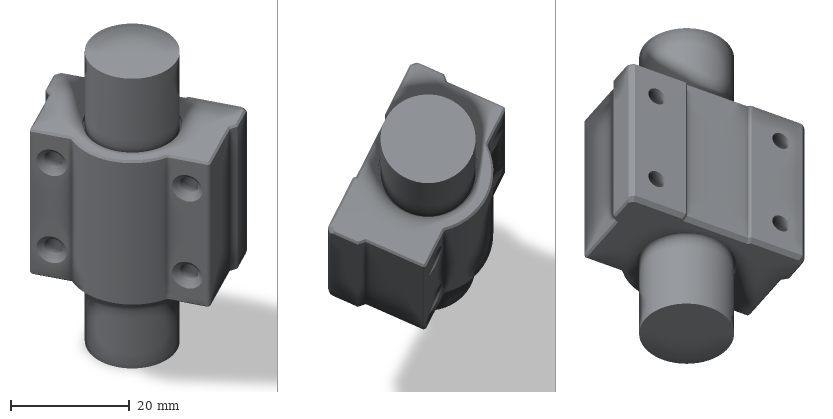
import cadquery as cq
import math

shaft_diameter = 16.0
shaft_length = 60.0
block_height = 30.0
block_width = 34.0
block_depth = 22.0
arm_width = 32.0
arm_front = -7.0
ledge_back_y = 5.05
corner_chamfer = 0.8
rim_chamfer = 0.35
back_rim_chamfer = 0.7
edge_fillet = 0.55
recess_width = 12.65
recess_depth = 0.4
groove_diameter = 16.8
groove_depth = 0.7
hole_spacing_x = 24.0
hole_spacing_z = 18.0
hole_diameter = 3.25
countersink_diameter = 5.4
countersink_depth = 1.0

nose_radius = block_depth / 2
back_y = block_depth / 2
half_width = block_width / 2
half_arm = arm_width / 2
half_height = block_height / 2
ledge_front_y = ledge_back_y - (half_width - half_arm)
nose_root_x = math.sqrt(nose_radius**2 - arm_front**2)


def back_outline(corner_reach):
    """Open outline of the recessed back, from its right corner bevel to its left one.

    The bevels run on until they are `corner_reach` away from the plane X = 0.
    """
    corner_start_x = half_width - corner_chamfer
    corner_end_y = back_y - (corner_reach - corner_start_x)
    half_recess = recess_width / 2
    recess_floor_y = back_y - recess_depth
    right_points = [
        (corner_reach, corner_end_y),
        (corner_start_x, back_y),
        (half_recess, back_y),
        (half_recess - recess_depth, recess_floor_y),
    ]
    left_points = [(-x, y) for x, y in reversed(right_points)]
    return cq.Workplane("XY").workplane(offset=-half_height).polyline(right_points + left_points)


def make_block():
    """Bearing block with a round nose in front and a shallow recess across the back."""
    block = (
        back_outline(half_width)
        .lineTo(-half_width, ledge_back_y)
        .lineTo(-half_arm, ledge_front_y)
        .lineTo(-half_arm, arm_front)
        .lineTo(-nose_root_x, arm_front)
        .threePointArc((0, -nose_radius), (nose_root_x, arm_front))
        .lineTo(half_arm, arm_front)
        .lineTo(half_arm, ledge_front_y)
        .lineTo(half_width, ledge_back_y)
        .close()
        .extrude(block_height)
    )
    front_edges = cq.selectors.BoxSelector(
        (-block_width, arm_front - edge_fillet, -block_height),
        (block_width, arm_front + edge_fillet, block_height),
    )
    block = block.edges("|Z").edges(front_edges).fillet(edge_fillet)
    return block.faces("<Z or >Z").edges().chamfer(rim_chamfer)


def make_back_envelope():
    """Body with the same back as the block but larger elsewhere, to give the back its wider rims."""
    front_y = -block_depth
    return (
        back_outline(block_width)
        .lineTo(-block_width, front_y)
        .lineTo(block_width, front_y)
        .close()
        .extrude(block_height)
        .faces("<Z or >Z")
        .edges()
        .chamfer(back_rim_chamfer)
    )


def make_screw_hole(x, z):
    """Through hole along Y with a countersink in the flat front face."""
    sink_radius = countersink_diameter / 2
    hole_radius = hole_diameter / 2
    return (
        cq.Workplane("XY")
        .moveTo(0, arm_front)
        .lineTo(sink_radius, arm_front)
        .lineTo(hole_radius, arm_front + countersink_depth)
        .lineTo(hole_radius, back_y)
        .lineTo(0, back_y)
        .close()
        .revolve(360, (0, 0, 0), (0, 1, 0))
        .translate((x, 0, z))
    )


result = make_block().intersect(make_back_envelope())

for x in (-hole_spacing_x / 2, hole_spacing_x / 2):
    for z in (-hole_spacing_z / 2, hole_spacing_z / 2):
        result = result.cut(make_screw_hole(x, z))

groove = cq.Workplane("XY").circle(groove_diameter / 2).extrude(groove_depth)
result = result.cut(groove.translate((0, 0, half_height - groove_depth)))
result = result.cut(groove.translate((0, 0, -half_height)))

shaft = cq.Workplane("XY").circle(shaft_diameter / 2).extrude(shaft_length / 2, both=True)
result = result.union(shaft)